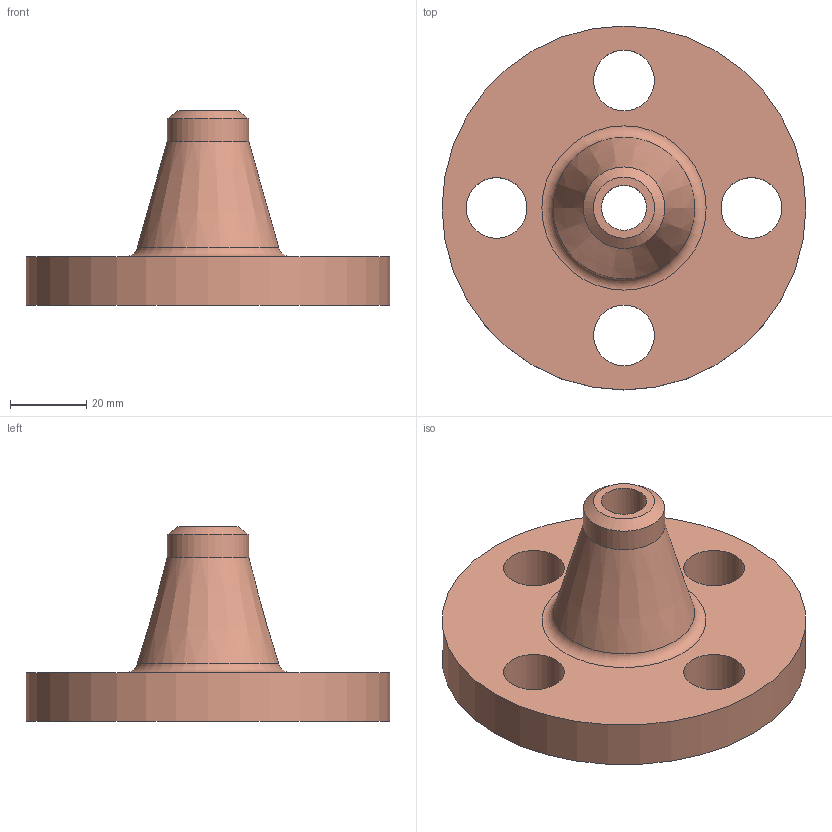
import cadquery as cq
import math

flange_diameter = 95.25
flange_thickness = 12.7

overall_height = 50.8
hub_base_diameter = 38.3
hub_fillet_radius = 3.1
neck_diameter = 21.34
neck_length = 8.0

bevel_height = 2.05
land_diameter = 16.0

bore_diameter = 11.8

bolt_hole_count = 4
bolt_hole_diameter = 15.9
bolt_circle_diameter = 66.7


def revolved_body():
    """Flange, filleted conical hub and bevelled neck as one turned profile about Z."""
    flange_radius = flange_diameter / 2
    hub_base_radius = hub_base_diameter / 2
    neck_radius = neck_diameter / 2
    neck_start = overall_height - neck_length

    cone_slope = math.atan2(hub_base_radius - neck_radius, neck_start - flange_thickness)
    sweep = math.pi / 2 - cone_slope
    tangent_length = hub_fillet_radius * math.tan(sweep / 2)
    center_radius = hub_base_radius + tangent_length
    center_height = flange_thickness + hub_fillet_radius

    def fillet_point(angle):
        """Point on the fillet, turned by the angle from the flange face."""
        return (
            center_radius - hub_fillet_radius * math.sin(angle),
            center_height - hub_fillet_radius * math.cos(angle),
        )

    profile = (
        cq.Workplane("XZ")
        .moveTo(0, 0)
        .lineTo(flange_radius, 0)
        .lineTo(flange_radius, flange_thickness)
        .lineTo(*fillet_point(0))
        .threePointArc(fillet_point(sweep / 2), fillet_point(sweep))
        .lineTo(neck_radius, neck_start)
        .lineTo(neck_radius, overall_height - bevel_height)
        .lineTo(land_diameter / 2, overall_height)
        .lineTo(0, overall_height)
        .close()
    )
    return profile.revolve(360, (0, 0, 0), (0, 1, 0))


def bore():
    """Cylinder that clears the central passage."""
    return cq.Workplane("XY").circle(bore_diameter / 2).extrude(overall_height)


def bolt_holes():
    """Cylinders for the bolt holes, the first one on +X."""
    return (
        cq.Workplane("XY")
        .polarArray(bolt_circle_diameter / 2, 0, 360, bolt_hole_count)
        .circle(bolt_hole_diameter / 2)
        .extrude(flange_thickness)
    )


result = revolved_body().cut(bore()).cut(bolt_holes())